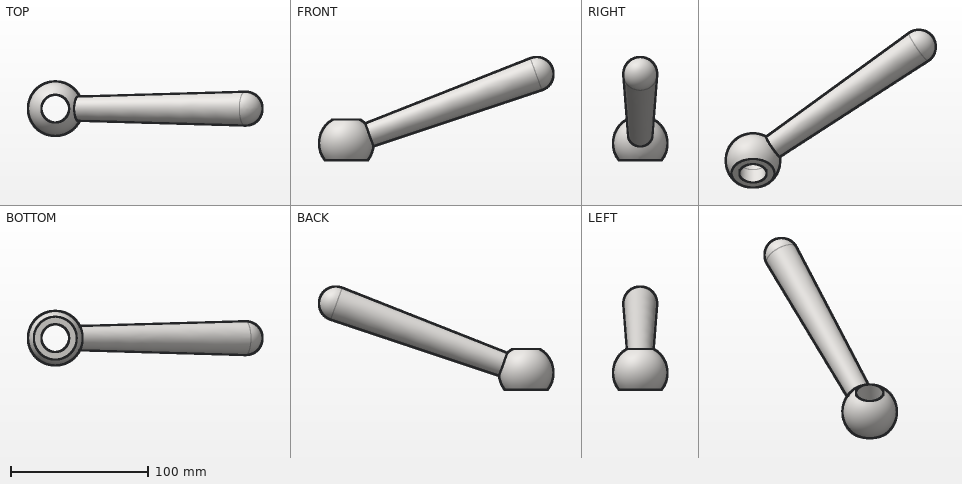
import cadquery as cq
import math

overall_length = 171.1
ball_diameter = 40.0
base_depth = 12.5
bore_diameter = 20.0
handle_angle = 20.0
neck_diameter = 18.0
tip_diameter = 25.0

ball_radius = ball_diameter / 2
bore_radius = bore_diameter / 2
neck_radius = neck_diameter / 2
tip_radius = tip_diameter / 2

neck_distance = math.sqrt(ball_radius**2 - neck_radius**2)
tip_reach = overall_length - ball_radius - tip_radius
tip_distance = tip_reach / math.cos(math.radians(handle_angle))

cone_length = tip_distance - neck_distance
edge_to_tip = math.hypot(cone_length, neck_radius)
taper = math.asin(tip_radius / edge_to_tip) - math.atan2(neck_radius, cone_length)
tangent_distance = tip_distance - tip_radius * math.sin(taper)
tangent_radius = tip_radius * math.cos(taper)


def make_ball():
    return cq.Workplane("XY").sphere(ball_radius)


def make_handle():
    """Tapered round handle with a spherical tip, revolved about X and then tilted up."""
    profile = (
        cq.Workplane("XZ")
        .lineTo(neck_distance, neck_radius)
        .lineTo(tangent_distance, tangent_radius)
        .radiusArc((tip_distance + tip_radius, 0), tip_radius)
        .close()
    )
    handle = profile.revolve(360, (0, 0, 0), (1, 0, 0))
    return handle.rotate((0, 0, 0), (0, 1, 0), -handle_angle)


def make_base_cutter():
    """Block that removes the ball below its flat base."""
    return (
        cq.Workplane("XY")
        .workplane(offset=-base_depth)
        .rect(2 * ball_diameter, 2 * ball_diameter)
        .extrude(-ball_diameter)
    )


def make_bore():
    """Vertical bore right through the ball; its rim forms the top of the ball."""
    return cq.Workplane("XY").circle(bore_radius).extrude(ball_diameter, both=True)


result = make_ball().union(make_handle()).cut(make_base_cutter()).cut(make_bore())